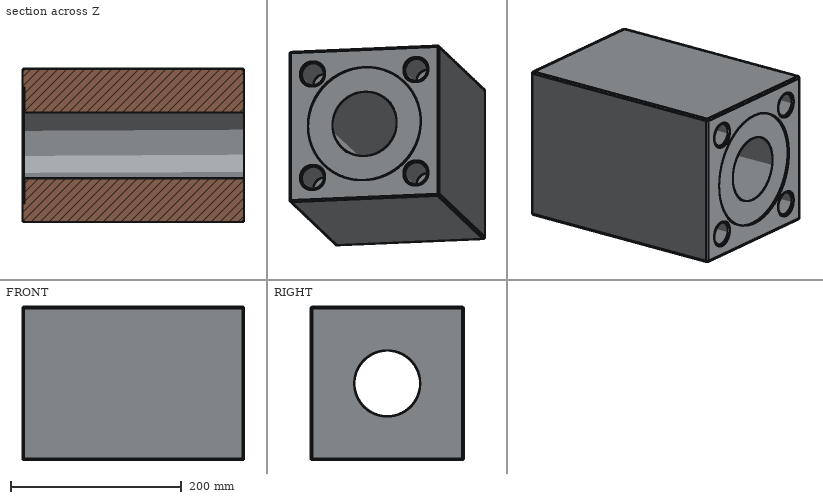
import cadquery as cq

length = 260.0
side = 180.0
edge_chamfer = 2.0

bore_diameter = 77.0
recess_diameter = 135.2
recess_depth = 2.0

hole_diameter = 26.5
hole_spacing = 123.8
hole_depth = 2.5 * hole_diameter
hole_chamfer = 1.8


def make_block():
    """Square block along X with every edge chamfered."""
    return cq.Workplane("XY").box(length, side, side).edges().chamfer(edge_chamfer)


def end_plane():
    """Workplane on the -X face; its normal points into the block."""
    return cq.Workplane("YZ", origin=(-length / 2, 0, 0))


def make_corner_holes():
    """Four blind holes with chamfered mouths."""
    mouth_diameter = hole_diameter + 2 * hole_chamfer
    centers = end_plane().rect(hole_spacing, hole_spacing, forConstruction=True).vertices()
    drills = centers.circle(hole_diameter / 2).extrude(hole_depth)
    mouths = centers.circle(mouth_diameter / 2).extrude(hole_chamfer, taper=45)
    return drills.union(mouths)


bore = end_plane().circle(bore_diameter / 2).extrude(length)
recess = end_plane().circle(recess_diameter / 2).extrude(recess_depth)

result = make_block().cut(bore).cut(recess).cut(make_corner_holes())